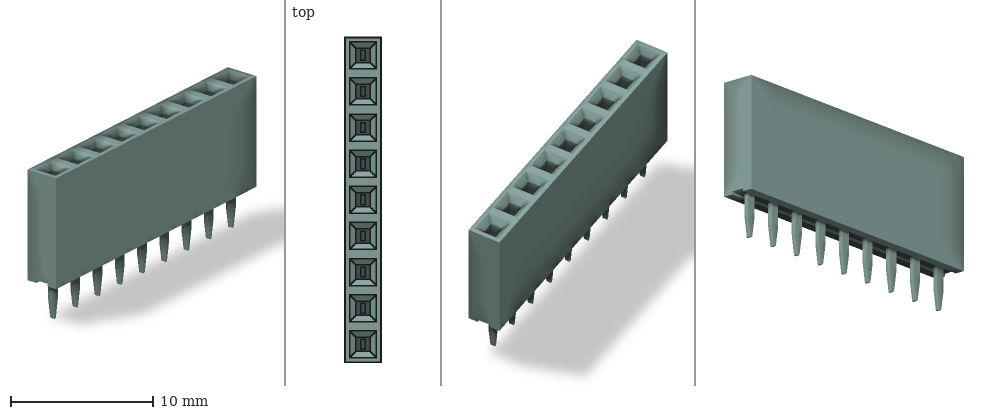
import cadquery as cq

contact_count = 9
row_length = 22.85
pitch = row_length / contact_count
housing_width = 2.54
housing_height = 8.5

entry_width = 1.9
well_width = 1.0
entry_depth = 0.45
cavity_depth = 4.57

groove_width = 1.03
groove_depth = 0.2

pin_thickness = 0.35
pin_width = 0.69
pin_projection = 3.0
tip_width = 0.18
taper_length = 1.5
tip_radius = 0.1

cavity_floor = housing_height - cavity_depth
contact_positions = [(i - (contact_count - 1) / 2) * pitch for i in range(contact_count)]


def make_cavity(y):
    """Tapered square entry leading down into a square well."""
    entry = (
        cq.Workplane("XY", origin=(0, y, housing_height))
        .rect(entry_width, entry_width)
        .workplane(offset=-entry_depth)
        .rect(well_width, well_width)
        .loft(ruled=True)
    )
    well = (
        cq.Workplane("XY", origin=(0, y, cavity_floor))
        .rect(well_width, well_width)
        .extrude(cavity_depth - entry_depth)
    )
    return entry.union(well)


def make_pin(y):
    """Flat pin from the cavity floor to a rounded tip, tapered across its width."""
    half_width = pin_width / 2
    half_tip = tip_width / 2
    taper_start = taper_length - pin_projection
    outline = [
        (-half_width, cavity_floor),
        (-half_width, taper_start),
        (-half_tip, -pin_projection),
        (half_tip, -pin_projection),
        (half_width, taper_start),
        (half_width, cavity_floor),
    ]
    blade = (
        cq.Workplane("YZ", origin=(-pin_thickness / 2, y, 0))
        .polyline(outline)
        .close()
        .extrude(pin_thickness)
    )
    return blade.faces("<Z").edges("|X").fillet(tip_radius)


def make_housing():
    """Rectangular block with an underside groove, cavities and pin slots."""
    body = cq.Workplane("XY").box(housing_width, row_length, housing_height, centered=(True, True, False))
    groove = cq.Workplane("XY").box(groove_width, row_length, groove_depth, centered=(True, True, False))
    body = body.cut(groove)
    for y in contact_positions:
        body = body.cut(make_cavity(y)).cut(make_pin(y))
    return body


housing = make_housing()
pins = [make_pin(y).val() for y in contact_positions]

result = cq.Compound.makeCompound([housing.val(), *pins])